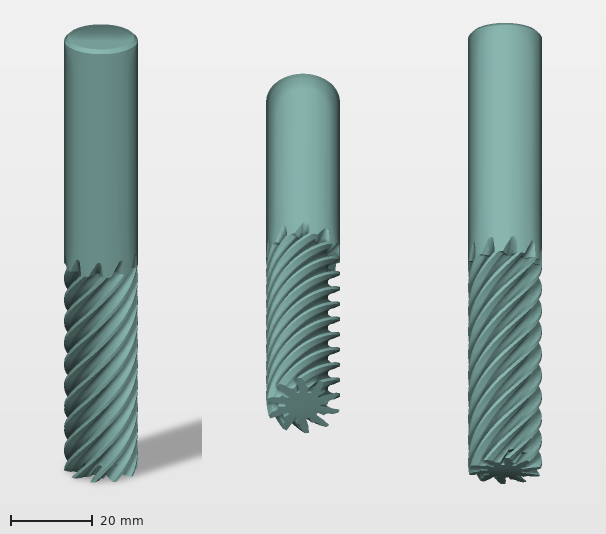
import cadquery as cq
import math

total_length = 114.0
tool_radius = 9.0
cut_length = 54.0
shank_start = 66.0
shank_chamfer = 0.9

tooth_count = 10
helix_angle = 45.0
land_width = 1.0
relief_width = 1.0
relief_depth = 1.4
root_depth = 3.0
rake_depth = 1.8
rake_lag = 1.0

gash_height = 3.4
gash_clearance = 0.5
gash_radius = 4.3

runout_length = 4.0
runout_floor_angle = 26.0
runout_floor_half_angle = 5.0
runout_floor_rise = 0.7
runout_turn = 4.0

tooth_pitch = 360.0 / tooth_count
helix_lead = 2 * math.pi * tool_radius / math.tan(math.radians(helix_angle))
land_angle = math.degrees(land_width / tool_radius)
relief_angle = math.degrees((land_width + relief_width) / tool_radius)
rake_foot_angle = tooth_pitch - rake_lag
floor_angle = (relief_angle + rake_foot_angle) / 2
root_radius = tool_radius - root_depth
relief_radius = tool_radius - relief_depth
rake_foot_radius = tool_radius - rake_depth
clear_radius = tool_radius + 1.1
runout_corner_radius = root_radius + runout_floor_rise


def turn_at(height):
    """Angle by which the helix has turned at a height above the tip."""
    return 360.0 * height / helix_lead


def polar(radius, angle):
    return (radius * math.cos(math.radians(angle)), radius * math.sin(math.radians(angle)))


def make_flutes():
    """Toothed cylinder: the outline of all the teeth, twisted along the helix."""
    outline = cq.Workplane("XY").moveTo(tool_radius, 0)
    for i in range(tooth_count):
        edge = i * tooth_pitch
        outline = (
            outline.threePointArc(
                polar(tool_radius, edge + land_angle / 2), polar(tool_radius, edge + land_angle)
            )
            .lineTo(*polar(relief_radius, edge + relief_angle))
            .threePointArc(
                polar(root_radius, edge + floor_angle), polar(rake_foot_radius, edge + rake_foot_angle)
            )
            .lineTo(*polar(tool_radius, edge + tooth_pitch))
        )
    return outline.close().twistExtrude(cut_length, turn_at(cut_length))


def make_gash():
    """Twisted block that deepens the front half of the first flute at the tip."""
    return (
        cq.Workplane("XY")
        .polyline(
            [
                polar(gash_radius, floor_angle),
                polar(gash_radius, rake_foot_angle),
                polar(rake_foot_radius, rake_foot_angle - gash_clearance),
                polar(rake_foot_radius, floor_angle),
            ]
        )
        .close()
        .twistExtrude(gash_height, turn_at(gash_height))
    )


def make_runout():
    """Groove that narrows and rises from the end of the first flute to the neck surface."""

    def section(height, lift, turn):
        start = turn_at(cut_length) + turn
        middle = start + runout_floor_angle
        return (
            cq.Workplane("XY")
            .workplane(offset=height)
            .moveTo(*polar(tool_radius + lift, start + relief_angle))
            .lineTo(*polar(runout_corner_radius + lift, middle - runout_floor_half_angle))
            .threePointArc(
                polar(root_radius + lift, middle),
                polar(runout_corner_radius + lift, middle + runout_floor_half_angle),
            )
            .lineTo(*polar(tool_radius + lift, start + tooth_pitch))
            .lineTo(*polar(clear_radius + lift, start + tooth_pitch))
            .lineTo(*polar(clear_radius + lift, start + relief_angle))
            .close()
            .val()
        )

    lower = section(cut_length, 0, 0)
    upper = section(cut_length + runout_length, root_depth, runout_turn)
    return cq.Workplane(cq.Solid.makeLoft([lower, upper], True))


def cut_at_every_tooth(body, tool):
    """Cut copies of a tool, made for the first flute, from every flute at once."""
    copies = [tool.rotate((0, 0, 0), (0, 0, 1), i * tooth_pitch).val() for i in range(tooth_count)]
    return body.cut(cq.Workplane(cq.Compound.makeCompound(copies)), clean=False).solids()


def make_cutter():
    return cut_at_every_tooth(make_flutes(), make_gash())


def make_shank():
    """Neck and shank, revolved from half of their outline."""
    profile = [
        (0, cut_length),
        (-tool_radius, cut_length),
        (-tool_radius, shank_start),
        (-tool_radius, total_length - shank_chamfer),
        (shank_chamfer - tool_radius, total_length),
        (0, total_length),
    ]
    blank = cq.Workplane("YZ").polyline(profile).close().revolve(360, (0, 0), (0, 1), clean=False)
    return cut_at_every_tooth(blank, make_runout())


cutter = make_cutter()
shank = make_shank()
result = cq.Compound.makeCompound([cutter.val(), shank.val()])